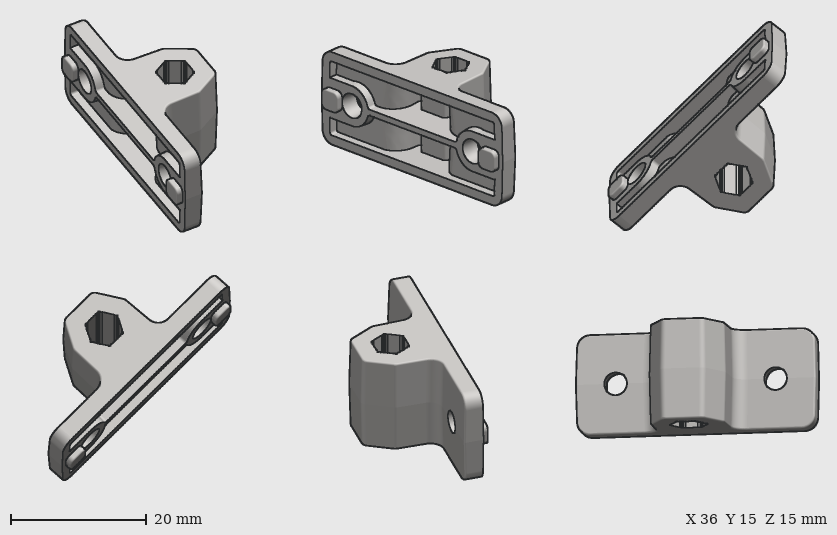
import cadquery as cq
import math

length = 36.0
height = 15.0
draft = 1.5
wall = 1.5

plate_thickness = 3.0
tower_depth = 14.0
tower_half_base = 5.9
tower_half_shoulder = 5.72
root_radius = 2.0
tower_corner_radius = 1.0
plate_corner_radius = 2.0
edge_radius = 0.3

bore_apothem = 2.5
bore_center_y = 8.5
crush_rib_radius = 0.2
crush_rib_height = 0.07
crush_rib_offset = 1.08

cavity_corner_radius = 0.5
cavity_end_radius = 0.4
cavity_blend_radius = 1.5
web_thickness = 0.97
web_draft = 5.0
web_fillet_radius = 0.5
boss_radius = 3.25

hole_x = 12.0
hole_front_radius = 1.95
hole_back_radius = 1.7
pin_x = 15.6
pin_size = 3.3
pin_height = 1.0
pin_corner_radius = 0.9
pin_edge_radius = 0.25

half_length = length / 2
half_height = height / 2
cavity_half_height = half_height - wall
floor_y = plate_thickness - wall
hexagon_apothem = tower_depth - bore_center_y
hexagon_half_side = hexagon_apothem * math.tan(math.radians(30))
shoulder_y = bore_center_y + 2 * hexagon_apothem - math.sqrt(3) * tower_half_shoulder
tube_apothem = bore_apothem + wall

front_margin = 3.6
overshoot = 0.35
tolerance = 0.005


def tower_outline(half_width):
    """Sharp-cornered outline of the tower on a plate of the given half width."""
    right_side = [
        (half_width, -front_margin),
        (half_width, plate_thickness),
        (tower_half_base, plate_thickness),
        (tower_half_shoulder, shoulder_y),
        (hexagon_half_side, tower_depth),
    ]
    left_side = [(-x, y) for x, y in reversed(right_side)]
    return right_side + left_side


def plate_outline():
    """Rectangle as long as the plate, deeper than it."""
    return [
        (half_length, -front_margin),
        (half_length, tower_depth),
        (-half_length, tower_depth),
        (-half_length, -front_margin),
    ]


def inset(points, distance):
    """Counter-clockwise polygon with every side moved inwards by a distance."""
    moved = []
    for i, (x, y) in enumerate(points):
        x_before, y_before = points[i - 1]
        x_after, y_after = points[(i + 1) % len(points)]
        angle_in = math.atan2(y - y_before, x - x_before)
        angle_out = math.atan2(y_after - y, x_after - x)
        middle = (angle_in + angle_out) / 2
        half_turn = (angle_out - angle_in) / 2
        reach = distance / math.cos(half_turn)
        moved.append((x - reach * math.sin(middle), y + reach * math.cos(middle)))
    return moved


def drafted_prism(points, z_top):
    """Prism from mid-height up to z_top whose sides all lean inwards."""
    shrink = z_top * math.tan(math.radians(draft))
    base = cq.Workplane("XY").polyline(points).close()
    top = base.workplane(offset=z_top).polyline(inset(points, shrink)).close()
    return top.loft(ruled=True)


def slab(y_start, y_end):
    """Oversized block that spans a range of Y."""
    block = cq.Workplane("XY").box(2 * length, y_end - y_start, 2 * height)
    return block.translate((0, (y_start + y_end) / 2, 0))


def hexagon_prism(apothem):
    """Hexagonal prism on the bore axis, with flats facing +Y and -Y."""
    diameter = 2 * apothem / math.cos(math.radians(30))
    return (
        cq.Workplane("XY", origin=(0, bore_center_y, 0))
        .polygon(6, diameter)
        .extrude(half_height + overshoot, both=True)
    )


def upright_edges(solid, y_min, y_max):
    """Tower edges rising between the Z ends, with their centres in a range of Y."""
    x_max = tower_half_base + root_radius
    box = cq.selectors.BoxSelector((-x_max, y_min, web_thickness), (x_max, y_max, cavity_half_height - 0.35))
    return solid.edges("not #Z").edges(box)


def touches_rim(edge):
    """True for edges around the Z faces and along the back of the plate ends."""
    center = edge.Center()
    if center.y < tolerance:
        return False
    on_z_face = abs(center.z) > half_height - tolerance
    on_end = abs(center.x) > half_length - plate_corner_radius
    return on_z_face or (on_end and center.y > plate_thickness - 0.35)


def make_body():
    """Solid outer shape: two drafted halves with a rounded rim."""
    half = drafted_prism(tower_outline(half_length), half_height)
    half = upright_edges(half, plate_thickness - 0.72, plate_thickness + 0.72).fillet(root_radius)
    half = upright_edges(half, shoulder_y - 0.72, tower_depth).fillet(tower_corner_radius)
    half = half.faces(">Z").edges("|Y").edges("<X or >X").fillet(plate_corner_radius)
    half = half.cut(slab(-2 * front_margin, 0))
    body = half.union(half.mirror("XY"))
    return body.edges().filter(touches_rim).fillet(edge_radius)


def make_web():
    """Material left between the cavities: middle web, hole bosses and end arms."""
    front = cq.Workplane("XZ")
    web = front.rect(2 * hole_x, web_thickness).extrude(-tower_depth, taper=-web_draft)
    for side in (-1, 1):
        boss = front.center(side * hole_x, 0).circle(boss_radius)
        web = web.union(boss.extrude(-tower_depth, taper=-web_draft))

    seams = cq.selectors.BoxSelector((-hole_x, 0.35, -height), (hole_x, tower_depth - 0.35, height))
    web = web.edges(seams).fillet(web_fillet_radius)

    arm_length = half_length - hole_x
    for side in (-1, 1):
        arm = front.center(side * (hole_x + arm_length / 2), 0).rect(arm_length, 2 * boss_radius)
        web = web.union(arm.extrude(-plate_thickness))
    return web


def make_cavity():
    """Cavity above the web: shallow in the plate, deep inside the tower."""
    tower_room = drafted_prism(inset(tower_outline(hole_x), wall), cavity_half_height)
    tower_room = upright_edges(tower_room, floor_y - 0.35, floor_y + 0.35).fillet(root_radius + wall)

    plate_room = drafted_prism(inset(plate_outline(), wall), cavity_half_height)
    plate_room = plate_room.faces(">Z").edges("|Y").fillet(cavity_end_radius)
    plate_room = plate_room.intersect(slab(-2 * front_margin, floor_y))

    web_core = cq.Workplane("XY").box(2 * length, 4 * tower_depth, web_thickness)
    cavity = tower_room.union(plate_room).cut(web_core)
    blend = upright_edges(cavity, floor_y - tolerance, floor_y + tolerance)
    cavity = blend.fillet(cavity_blend_radius)

    tube = hexagon_prism(tube_apothem).edges("|Z").fillet(cavity_corner_radius)
    cavity = cavity.cut(tube).cut(slab(bore_center_y, 2 * tower_depth))
    cavity = upright_edges(cavity, bore_center_y - 1.45, bore_center_y - 0.18).fillet(cavity_corner_radius)
    return cavity.cut(make_web())


def make_bore():
    """Hexagonal bore narrowed by two crush ribs on each flat."""
    bore = hexagon_prism(bore_apothem)
    rib_y = bore_apothem + crush_rib_radius - crush_rib_height
    for turn in range(0, 360, 60):
        ribs = (
            cq.Workplane("XY")
            .pushPoints([(-crush_rib_offset, rib_y), (crush_rib_offset, rib_y)])
            .circle(crush_rib_radius)
            .extrude(half_height + overshoot, both=True)
            .rotate((0, 0, 0), (0, 0, 1), turn)
            .translate((0, bore_center_y, 0))
        )
        bore = bore.cut(ribs)
    return bore


def make_hole(x):
    """Mounting hole that narrows towards the back of the plate."""
    front_circle = cq.Workplane("XZ").center(x, 0).circle(hole_front_radius)
    return front_circle.workplane(offset=-plate_thickness).circle(hole_back_radius).loft()


def make_pin(x):
    """Rounded square locating pin standing on the mounting face."""
    pin = cq.Workplane("XZ").center(x, 0).rect(pin_size, pin_size).extrude(pin_height)
    pin = pin.edges("|Y").fillet(pin_corner_radius)
    return pin.faces("<Y").edges().fillet(pin_edge_radius)


cavity = make_cavity()
result = make_body().cut(cavity).cut(cavity.mirror("XY")).cut(make_bore())
for side in (-1, 1):
    result = result.cut(make_hole(side * hole_x))
    result = result.union(make_pin(side * pin_x))